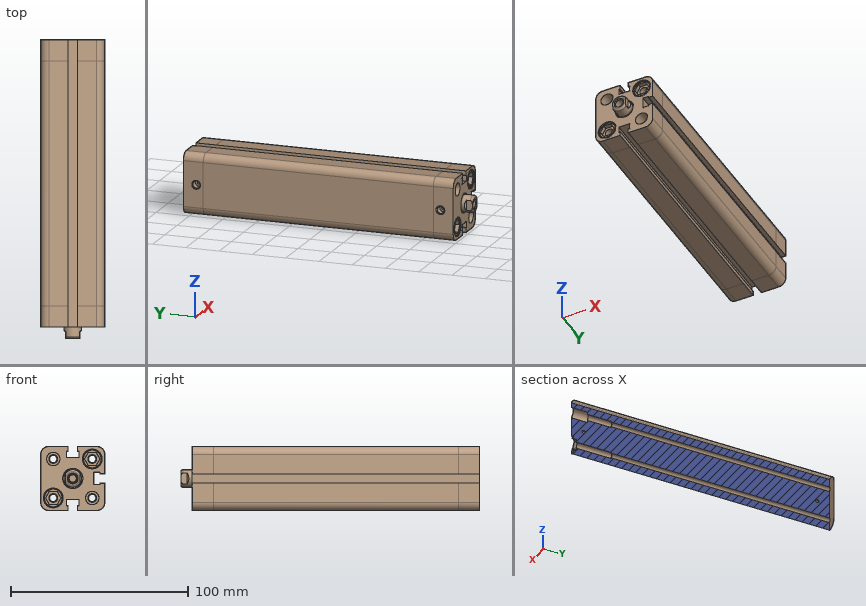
import cadquery as cq
import math

SIDE = 36.3
TOTAL_LENGTH = 168.6
ROD_PROTRUSION = 6.3
BODY_LENGTH = TOTAL_LENGTH - ROD_PROTRUSION
CAP_LENGTH = 12.0
CORNER_RADIUS = 4.65

SLOT_MOUTH_WIDTH = 5.2
SLOT_WIDTH = 6.8
SLOT_DEPTH = 6.2
SLOT_LIP_DEPTH = 2.8
SLOT_ANGLES = (0, 90, -90)

HOLE_OFFSET = 11.0
THREAD_MINOR_DIAMETER = 4.13
THREAD_MAJOR_DIAMETER = 4.92
THREAD_DEPTH = 25.0
PLAIN_BORE_DIAMETER = 7.55
PLAIN_BORE_DEPTH = 10.0
SCREW_RECESS_DIAMETER = 11.1
SCREW_RECESS_DEPTH = 1.2
SCREW_HEAD_DIAMETER = 10.0
SCREW_HEAD_HEIGHT = 0.8
SCREW_HEX_WIDTH = 7.55
SCREW_HEX_DEPTH = 2.5

ROD_DIAMETER = 10.0
ROD_GAP_DIAMETER = 11.4
ROD_GAP_DEPTH = 1.0
ROD_TIP_RADIUS = 1.15
ROD_FLAT_WIDTH = 8.0
ROD_FLAT_LENGTH = 3.5
ROD_BORE_MOUTH_DIAMETER = 6.0
ROD_THREAD_DEPTH = 10.0
ROD_BORE_DEPTH = 12.0

PORT_DISTANCE = 7.7
PORT_MOUTH_DIAMETER = 5.2
PORT_DEPTH = 4.5
PORT_PASSAGE_DIAMETER = 1.75
PORT_PASSAGE_DEPTH = 7.0

TIP_Y = -TOTAL_LENGTH / 2
FRONT_Y = TIP_Y + ROD_PROTRUSION
BACK_Y = FRONT_Y + BODY_LENGTH


def plane_at(y, x=0.0, z=0.0):
    """Plane facing -Y, with local x along X and local y along Z."""
    return cq.Workplane("XZ", origin=(x, y, z))


def cylinder(diameter, y, depth, x=0.0, z=0.0):
    """Cylinder along Y that starts at y and runs towards +Y."""
    return plane_at(y, x, z).circle(diameter / 2).extrude(-depth)


def countersink(mouth, outer_diameter, inner_diameter, direction):
    """45 degree cone that narrows from the mouth plane in the given normal direction."""
    depth = (outer_diameter - inner_diameter) / 2
    inner = mouth.workplane(offset=direction * depth).circle(inner_diameter / 2)
    return inner.workplane(offset=-direction * depth).circle(outer_diameter / 2).loft()


def body_section(y, length):
    block = plane_at(y).rect(SIDE, SIDE).extrude(-length)
    return block.edges("|Y").fillet(CORNER_RADIUS)


def sensor_slot(angle):
    mouth_x = SIDE / 2
    floor_x = mouth_x - SLOT_DEPTH
    mouth = plane_at(FRONT_Y).center((mouth_x + floor_x) / 2, 0)
    mouth = mouth.rect(SLOT_DEPTH, SLOT_MOUTH_WIDTH).extrude(-BODY_LENGTH)
    pocket_depth = SLOT_DEPTH - SLOT_LIP_DEPTH
    pocket = plane_at(FRONT_Y).center(floor_x + pocket_depth / 2, 0)
    pocket = pocket.rect(pocket_depth, SLOT_WIDTH).extrude(-BODY_LENGTH)
    return mouth.union(pocket).rotate((0, 0, 0), (0, 1, 0), angle)


def threaded_hole(x, z):
    core = cylinder(THREAD_MINOR_DIAMETER, FRONT_Y, BODY_LENGTH, x, z)
    return core.union(cylinder(THREAD_MAJOR_DIAMETER, FRONT_Y, THREAD_DEPTH, x, z))


def plain_hole(x, z):
    bore = cylinder(PLAIN_BORE_DIAMETER, FRONT_Y, PLAIN_BORE_DEPTH, x, z)
    return threaded_hole(x, z).union(bore)


def screw_hole(x, z):
    recess = cylinder(SCREW_RECESS_DIAMETER, FRONT_Y, SCREW_RECESS_DEPTH, x, z)
    head_y = FRONT_Y + SCREW_RECESS_DEPTH - SCREW_HEAD_HEIGHT
    recess = recess.cut(cylinder(SCREW_HEAD_DIAMETER, head_y, SCREW_HEAD_HEIGHT, x, z))
    hex_corners = SCREW_HEX_WIDTH / math.cos(math.pi / 6)
    socket = plane_at(head_y, x, z).polygon(6, hex_corners).extrude(-SCREW_HEX_DEPTH)
    return threaded_hole(x, z).union(recess).union(socket)


def rod_gap():
    gap = cylinder(ROD_GAP_DIAMETER, FRONT_Y, ROD_GAP_DEPTH)
    return gap.cut(cylinder(ROD_DIAMETER, FRONT_Y, ROD_GAP_DEPTH))


def flat_waste(side):
    """Material cut from one side of the rod to form a wrench flat with a 45 degree runout."""
    flat_x = side * ROD_FLAT_WIDTH / 2
    outer_x = side * ROD_DIAMETER / 2
    runout = (ROD_DIAMETER - ROD_FLAT_WIDTH) / 2
    flat_end_y = TIP_Y + ROD_FLAT_LENGTH
    outline = [(flat_x, TIP_Y), (flat_x, flat_end_y), (outer_x, flat_end_y + runout), (outer_x, TIP_Y)]
    return cq.Workplane("XY").polyline(outline).close().extrude(ROD_DIAMETER / 2, both=True)


def piston_rod():
    rod = cylinder(ROD_DIAMETER, TIP_Y, ROD_PROTRUSION + ROD_GAP_DEPTH)
    rod = rod.faces("<Y").edges().fillet(ROD_TIP_RADIUS)
    for side in (-1, 1):
        rod = rod.cut(flat_waste(side))
    return rod


def rod_bore():
    core = cylinder(THREAD_MINOR_DIAMETER, TIP_Y, ROD_BORE_DEPTH)
    thread = cylinder(THREAD_MAJOR_DIAMETER, TIP_Y, ROD_THREAD_DEPTH)
    mouth = countersink(plane_at(TIP_Y), ROD_BORE_MOUTH_DIAMETER, THREAD_MAJOR_DIAMETER, -1)
    return core.union(thread).union(mouth)


def air_port(y):
    mouth = cq.Workplane("YZ", origin=(-SIDE / 2, y, 0))
    port = mouth.circle(THREAD_MINOR_DIAMETER / 2).extrude(PORT_DEPTH)
    passage = mouth.circle(PORT_PASSAGE_DIAMETER / 2).extrude(PORT_PASSAGE_DEPTH)
    cone = countersink(mouth, PORT_MOUTH_DIAMETER, THREAD_MINOR_DIAMETER, 1)
    return port.union(passage).union(cone)


front_cap = body_section(FRONT_Y, CAP_LENGTH)
barrel = body_section(FRONT_Y + CAP_LENGTH, BODY_LENGTH - 2 * CAP_LENGTH)
rear_cap = body_section(BACK_Y - CAP_LENGTH, CAP_LENGTH)
result = front_cap.union(barrel, clean=False).union(rear_cap, clean=False)

for slot_angle in SLOT_ANGLES:
    result = result.cut(sensor_slot(slot_angle), clean=False)

for sign in (-1, 1):
    result = result.cut(plain_hole(sign * HOLE_OFFSET, -sign * HOLE_OFFSET), clean=False)
    result = result.cut(screw_hole(sign * HOLE_OFFSET, sign * HOLE_OFFSET), clean=False)

for port_y in (FRONT_Y + PORT_DISTANCE, BACK_Y - PORT_DISTANCE):
    result = result.cut(air_port(port_y), clean=False)

result = result.cut(rod_gap(), clean=False)
result = result.union(piston_rod(), clean=False)
result = result.cut(rod_bore(), clean=False)